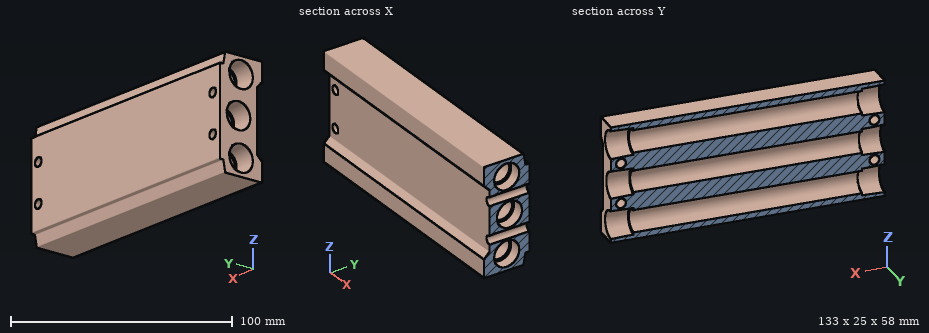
import cadquery as cq

length = 133.0
depth = 25.0
height = 58.0
half_height = height / 2
front_y = -depth / 2
back_y = depth / 2

channel_depth = 3.0
channel_floor_height = 32.0

pad_height = 46.0
shoulder_outer_drop = 3.2
shoulder_inner_drop = 2.1

corner_radius = 0.5

port_spacing = 20.0
port_diameter = 11.0
mouth_diameter = 13.8
mouth_depth = 11.0
mouth_taper = 1 / 16
outer_port_setback = 12.5
middle_port_setback = 14.0
outer_port_y = front_y + outer_port_setback
middle_port_y = front_y + middle_port_setback

mount_diameter = 4.5
mount_end_distance = 5.0
mount_spacing_z = 20.0


def make_bar():
    """Extrude the Y-Z section along X and round its corners."""
    floor_y = front_y + channel_depth
    floor_z = channel_floor_height / 2
    lip_z = floor_z + channel_depth
    pad_z = pad_height / 2
    upper_half = [
        (floor_y, floor_z),
        (front_y, lip_z),
        (front_y, half_height),
        (back_y - shoulder_outer_drop, half_height),
        (back_y - shoulder_inner_drop, pad_z),
        (back_y, pad_z),
    ]
    lower_half = [(y, -z) for y, z in reversed(upper_half)]
    bar = (
        cq.Workplane("YZ")
        .polyline(upper_half + lower_half)
        .close()
        .extrude(length / 2, both=True)
    )
    rounded_corners = [
        (front_y, half_height),
        (back_y, pad_z),
        (back_y - shoulder_outer_drop, half_height),
        (back_y - shoulder_inner_drop, pad_z),
        (floor_y, floor_z),
    ]
    for y, z in rounded_corners:
        for side in (1, -1):
            corner_edge = cq.selectors.NearestToPointSelector((0, y, side * z))
            bar = bar.edges("|X").edges(corner_edge).fillet(corner_radius)
    return bar


def make_port(y, z):
    """Full-length port with a wider, tapered mouth at each end, shaped as a revolved profile."""
    half_length = length / 2
    mouth_end = half_length - mouth_depth
    port_radius = port_diameter / 2
    mouth_radius = mouth_diameter / 2
    mouth_inner_radius = (mouth_diameter - mouth_taper * mouth_depth) / 2
    right_half = [
        (mouth_end, port_radius),
        (mouth_end, mouth_inner_radius),
        (half_length, mouth_radius),
        (half_length, 0),
    ]
    left_half = [(-x, radius) for x, radius in reversed(right_half)]
    return (
        cq.Workplane("XY")
        .polyline(right_half + left_half)
        .close()
        .revolve(360, (0, 0), (1, 0))
        .translate((0, y, z))
    )


def cut_mounting_holes(body):
    """Cut the four holes that run through the depth near the ends."""
    holes = (
        cq.Workplane("XZ", origin=(0, back_y, 0))
        .rarray(length - 2 * mount_end_distance, mount_spacing_z, 2, 2)
        .circle(mount_diameter / 2)
        .extrude(depth)
    )
    return body.cut(holes)


port_positions = [
    (outer_port_y, port_spacing),
    (middle_port_y, 0),
    (outer_port_y, -port_spacing),
]

result = make_bar()
for port_y, port_z in port_positions:
    result = result.cut(make_port(port_y, port_z))
result = cut_mounting_holes(result)